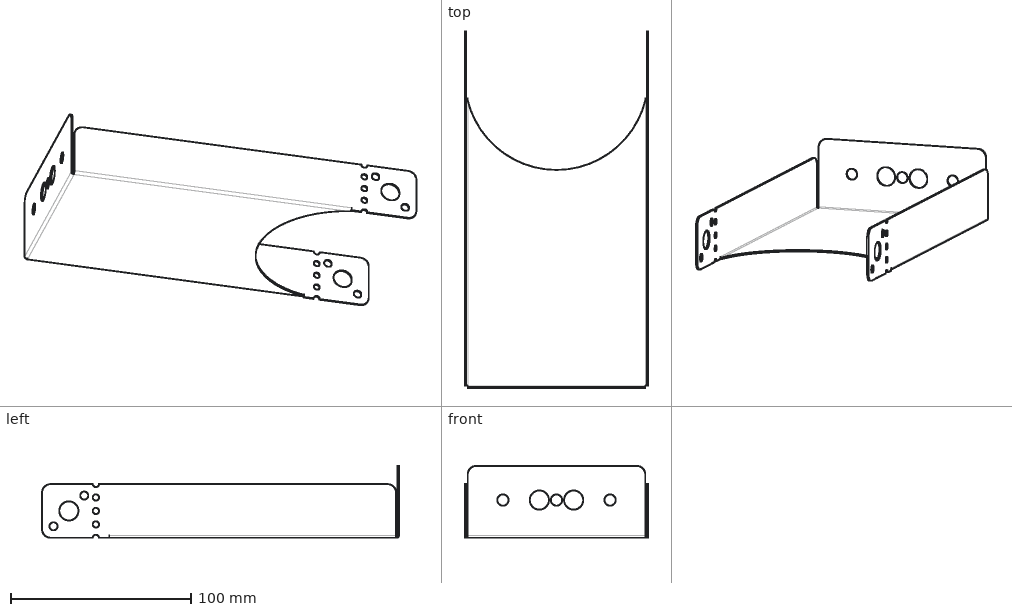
import cadquery as cq

length = 198.4
width = 102.0
flange_height = 40.0
wall_height = 30.0

sheet = 1.0
bend_radius = 1.5
inner_bend_radius = bend_radius - sheet
corner_radius = 5.0

scoop_radius = 50.8
scoop_bottom_y = 121.5
wall_bend_end_y = 161.1

flange_hole_height = 21.0
large_hole_diameter = 10.5
flange_hole_diameter = 6.2
large_hole_offset = 9.5
outer_hole_offset = 29.8

tab_hole_from_end = wall_height / 2
tab_screw_offset = 8.5
tab_screw_diameter = 4.4
perforation_diameter = 3.4
perforation_y = length - wall_height
perforation_gaps = 4

half_width = width / 2
flange_half_width = half_width - bend_radius


def box(x_range, y_range, z_range):
    """Axis-aligned block between the given limits."""
    size = [high - low for low, high in (x_range, y_range, z_range)]
    origin = (x_range[0], y_range[0], z_range[0])
    return cq.Workplane("XY").box(*size, centered=False).translate(origin)


def bend_profile(plane, outer_edge, direction):
    """Quarter-ring bend section curving up from the floor to an upright."""
    center = outer_edge + direction * bend_radius
    return (
        cq.Workplane(plane)
        .center(center, bend_radius)
        .moveTo(0, -bend_radius)
        .radiusArc((-direction * bend_radius, 0), direction * bend_radius)
        .lineTo(-direction * inner_bend_radius, 0)
        .radiusArc((0, -inner_bend_radius), -direction * inner_bend_radius)
        .close()
    )


def make_floor():
    floor = box((-flange_half_width, flange_half_width), (bend_radius, length), (0, sheet))
    scoop = (
        cq.Workplane("XY")
        .center(0, scoop_bottom_y + scoop_radius)
        .circle(scoop_radius)
        .extrude(sheet)
    )
    behind_bends = box((-half_width, half_width), (wall_bend_end_y, length), (0, sheet))
    return floor.cut(scoop).cut(behind_bends)


def make_flange():
    plate = box((-flange_half_width, flange_half_width), (0, sheet), (bend_radius, flange_height))
    plate = plate.edges("|Y and >Z").fillet(corner_radius)
    bend = bend_profile("YZ", 0, 1).extrude(flange_half_width, both=True)
    return plate.union(bend)


def make_left_wall():
    x_range = (-half_width, -half_width + sheet)
    wall = box(x_range, (bend_radius, length), (0, wall_height))
    wall = wall.edges("|X and (>Z or >Y)").fillet(corner_radius)
    wall = wall.cut(box(x_range, (bend_radius, wall_bend_end_y), (0, bend_radius)))
    bend = (
        bend_profile("XZ", -half_width, 1)
        .extrude(bend_radius - wall_bend_end_y)
        .translate((0, bend_radius, 0))
    )
    return wall.union(bend)


def cut_flange_holes(body):
    hole_sets = (
        (flange_hole_diameter, (-outer_hole_offset, 0, outer_hole_offset)),
        (large_hole_diameter, (-large_hole_offset, large_hole_offset)),
    )
    for diameter, offsets in hole_sets:
        holes = (
            cq.Workplane("XZ")
            .pushPoints([(x, flange_hole_height) for x in offsets])
            .circle(diameter / 2)
            .extrude(-sheet)
        )
        body = body.cut(holes)
    return body


def cut_tab_holes(body):
    """Cut the tab holes and the perforated break line through both walls."""
    center_y = length - tab_hole_from_end
    center_z = wall_height / 2
    screw_points = [
        (center_y + side * tab_screw_offset, center_z - side * tab_screw_offset)
        for side in (-1, 1)
    ]
    perforation_pitch = wall_height / perforation_gaps
    perforations = [(perforation_y, i * perforation_pitch) for i in range(perforation_gaps + 1)]
    hole_sets = (
        (large_hole_diameter, [(center_y, center_z)]),
        (tab_screw_diameter, screw_points),
        (perforation_diameter, perforations),
    )
    for diameter, points in hole_sets:
        holes = (
            cq.Workplane("YZ")
            .pushPoints(points)
            .circle(diameter / 2)
            .extrude(half_width, both=True)
        )
        body = body.cut(holes)
    return body


left_wall = make_left_wall()
right_wall = left_wall.mirror("YZ")
body = make_floor().union(make_flange()).union(left_wall).union(right_wall)
result = cut_tab_holes(cut_flange_holes(body))